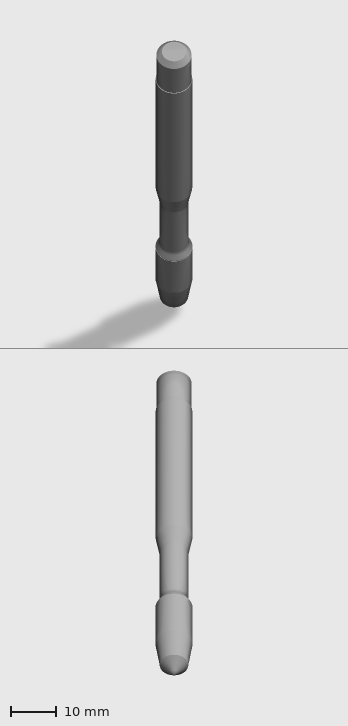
import cadquery as cq
import math

shank_diameter = 8.0
drive_end_diameter = 7.68
neck_diameter = 6.33
cutting_diameter = 8.13
core_diameter = 6.23

tip_height = core_diameter / 2
length_above_point = 90.0
total_length = tip_height + length_above_point
lead_taper_top = 9.78
cutting_top = 21.3
collar_height = 0.15
collar_top = cutting_top + collar_height
shank_bottom = 43.06
drive_end_length = 10.0
drive_end_bottom = total_length - drive_end_length
end_chamfer = 1.2

collar_cone_angle = 27.0
shank_cone_angle = 9.7
neck_fillet_radius = 1.2


def cone_length(large_diameter, small_diameter, angle):
    """Axial length of a cone that runs between two diameters."""
    return (large_diameter - small_diameter) / 2 / math.tan(math.radians(angle))


neck_bottom = collar_top + cone_length(shank_diameter, neck_diameter, collar_cone_angle)
neck_top = shank_bottom - cone_length(shank_diameter, neck_diameter, shank_cone_angle)


def turned_solid(stations):
    """Revolve (diameter, height) stations around Z, starting and ending on the axis."""
    outline = cq.Workplane("XZ").polyline([(diameter / 2, height) for diameter, height in stations]).close()
    return outline.revolve(360, (0, 0), (0, 1))


def make_cutting_head():
    """Pointed cylinder with a lead taper, up to the flat face that meets the shank."""
    return turned_solid([
        (0, 0),
        (core_diameter, tip_height),
        (cutting_diameter, lead_taper_top),
        (cutting_diameter, cutting_top),
        (0, cutting_top),
    ])


def make_shank():
    """Stepped shank with a thin collar and a neck between two cones."""
    shank = turned_solid([
        (0, cutting_top),
        (shank_diameter, cutting_top),
        (shank_diameter, collar_top),
        (neck_diameter, neck_bottom),
        (neck_diameter, neck_top),
        (shank_diameter, shank_bottom),
        (shank_diameter, drive_end_bottom),
        (drive_end_diameter, drive_end_bottom),
        (drive_end_diameter, total_length),
        (0, total_length),
    ])
    shank = shank.faces(">Z").edges().chamfer(end_chamfer)
    neck_circles = [
        edge
        for edge in shank.edges("%CIRCLE").vals()
        if math.isclose(edge.radius(), neck_diameter / 2)
    ]
    return shank.newObject(neck_circles).fillet(neck_fillet_radius).solids()


cutting_head = make_cutting_head()
shank = make_shank()

result = cq.Compound.makeCompound([cutting_head.val(), shank.val()])